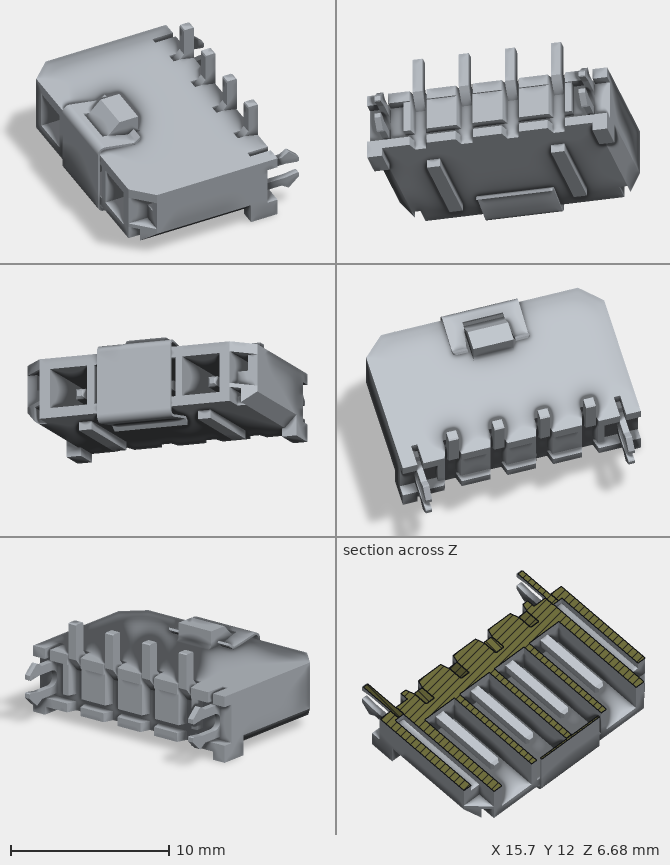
import cadquery as cq
import math


WIDTH = 15.65
DEPTH = 9.89
HEIGHT = 3.88
HALF_WIDTH = WIDTH / 2
CORNER_CHAMFER = 1.35
SIDE_BEVEL = 0.8

CONTACT_COUNT = 4
PITCH = 3.0
CONTACT_Z = 1.91
SOCKET_SIZE = 2.54
SOCKET_DEPTH = 7.2

PIN_SIZE = 0.64
PIN_TIP_Y = 1.88
PIN_TIP_LENGTH = 0.2
PIN_TIP_FLAT = 0.33
TAIL_BACK_Y = 10.03
TAIL_DEPTH = 0.7
TAIL_FRONT_Y = TAIL_BACK_Y - TAIL_DEPTH
TAIL_TOP = 6.09
TAIL_BEVEL_LONG = 0.11
TAIL_BEVEL_SHORT = 0.05
FRONT_KNEE_Z = 4.2
BACK_KNEE_Z = 3.71
SLOPE_RUN = 0.85

TAIL_SLOT_FRONT_Y = 8.59
NOTCH_WIDE = 1.13
NOTCH_NARROW = 0.7
REAR_GROOVE_Y = 9.19
REAR_GROOVE_BOTTOM = 0.6
REAR_GROOVE_TOP = 3.18
REAR_BLOCK_Y = 9.78
REAR_BLOCK_WIDTH = 10.95
REAR_BLOCK_BOTTOM = 1.1

FOOT_HEIGHT = 0.55
CORNER_FOOT_WIDTH = 0.97
CORNER_FOOT_LENGTH = 1.88
CORNER_FOOT_FRONT_Y = DEPTH - CORNER_FOOT_LENGTH
RIB_X = 4.05
RIB_WIDTH = 0.86
RIB_FRONT_Y = 1.72
RIB_REAR_Y = 7.68

LOCK_X = 6.67
LOCK_THICKNESS = 0.4
LOCK_FRONT_Y = 8.44
LOCK_TIP_Y = 11.88
LOCK_BARB_Y = 11.15
LOCK_CREST_LENGTH = 0.1
LOCK_CREST_DROP = 0.05
LOCK_GAP_END_Y = 10.95
LOCK_NECK_Y = 10.67
LOCK_MID_Z = 1.9
LOCK_GAP = 1.1
LOCK_GAP_CENTER_Y = 9.69
LOCK_BARB_HALF = 1.41
LOCK_ARM_TOP = 3.02
LOCK_ARM_BOTTOM = 0.8
LOCK_HEAD_TOP = 3.22
LOCK_HEAD_BOTTOM = REAR_GROOVE_BOTTOM
LOCK_HEAD_REAR_Y = 8.94
LOCK_STEP_REAR_Y = 9.14
LOCK_HEAD_FACE_TOP = 3.07
LOCK_HEAD_FACE_BOTTOM = 0.69
LOCK_HEAD_LEAD = 0.06
LOCK_TIP_OUTER = 0.77
LOCK_TIP_INNER = 0.47
LOCK_TIP_BEVEL = 0.08
LOCK_TIP_BEVEL_END = 0.42

POCKET_BOTTOM = 1.17
POCKET_TOP = 3.22
UPPER_TUNNEL_BOTTOM = 2.2
UPPER_TUNNEL_OUTER_X = 7.18
STEP_TOP = 0.9
CHAMFER_X = HALF_WIDTH - CORNER_CHAMFER
BEVEL_X = HALF_WIDTH - SIDE_BEVEL

RAMP_WIDTH = 2.66
RAMP_HEIGHT = 1.17
RAMP_FRONT_Y = 0.8
RAMP_REAR_Y = 3.29
RAMP_ROOT_RADIUS = 0.25

COVER_WIDTH = 5.01
COVER_APEX_Z = 4.49
COVER_THICKNESS = 0.15
COVER_BEND_RADIUS = 0.45
COVER_KINK_Y = 2.44
COVER_KINK_Z = 4.05
COVER_END_Y = 2.85
COVER_END_Z = 4.37
COVER_KINK_RADIUS = 0.22
COVER_CORNER_RADIUS = 0.2
COVER_NOTCH_FRONT_Y = 0.75
COVER_NOTCH_TAPER_START_Y = 1.11
COVER_NOTCH_TAPER_END_Y = 2.57
COVER_NOTCH_WIDE = 3.13

contact_xs = [(i - (CONTACT_COUNT - 1) / 2) * PITCH for i in range(CONTACT_COUNT)]


def block(x_min, x_max, y_min, y_max, z_min, z_max):
    """Box given by its limits along each axis."""
    return cq.Workplane("XY").box(
        x_max - x_min, y_max - y_min, z_max - z_min, centered=False
    ).translate((x_min, y_min, z_min))


def both_sides(shape):
    """The shape together with its mirror image in the YZ plane."""
    return shape.union(shape.mirror("YZ"))


def side_profile(points, x_center, width):
    """Prism along X with a (Y, Z) outline, centred on x_center."""
    return (
        cq.Workplane("YZ", origin=(x_center, 0, 0))
        .polyline(points).close().extrude(width / 2, both=True)
    )


def make_pin(x):
    leg_top = CONTACT_Z + PIN_SIZE / 2
    leg_bottom = CONTACT_Z - PIN_SIZE / 2
    leg_start_y = PIN_TIP_Y + PIN_TIP_LENGTH
    outline = [
        (leg_start_y, leg_bottom),
        (TAIL_BACK_Y - SLOPE_RUN * (BACK_KNEE_Z - leg_bottom), leg_bottom),
        (TAIL_BACK_Y, BACK_KNEE_Z),
        (TAIL_BACK_Y, TAIL_TOP - TAIL_BEVEL_SHORT),
        (TAIL_BACK_Y - TAIL_BEVEL_LONG, TAIL_TOP),
        (TAIL_FRONT_Y + TAIL_BEVEL_SHORT, TAIL_TOP),
        (TAIL_FRONT_Y, TAIL_TOP - TAIL_BEVEL_LONG),
        (TAIL_FRONT_Y, FRONT_KNEE_Z),
        (TAIL_FRONT_Y - SLOPE_RUN * (FRONT_KNEE_Z - leg_top), leg_top),
        (leg_start_y, leg_top),
    ]
    tip = (
        cq.Workplane("XZ", origin=(x, leg_start_y, CONTACT_Z))
        .rect(PIN_SIZE, PIN_SIZE)
        .workplane(offset=PIN_TIP_LENGTH)
        .rect(PIN_TIP_FLAT, PIN_TIP_FLAT)
        .loft(combine=True)
    )
    return side_profile(outline, x, PIN_SIZE).union(tip)


def lock_barb_points(side, arm_z):
    """Outline of one barb from its neck round the tip to the gap; side is +1 for the upper arm."""
    return [
        (LOCK_NECK_Y, arm_z),
        (LOCK_BARB_Y, LOCK_MID_Z + side * LOCK_BARB_HALF),
        (LOCK_BARB_Y + LOCK_CREST_LENGTH, LOCK_MID_Z + side * (LOCK_BARB_HALF - LOCK_CREST_DROP)),
        (LOCK_TIP_Y, LOCK_MID_Z + side * LOCK_TIP_OUTER),
        (LOCK_TIP_Y, LOCK_MID_Z + side * LOCK_TIP_INNER),
        (LOCK_TIP_Y - LOCK_TIP_BEVEL, LOCK_MID_Z + side * LOCK_TIP_BEVEL_END),
        (LOCK_GAP_END_Y, LOCK_MID_Z + side * LOCK_GAP / 2),
    ]


def make_lock(x):
    upper_barb = lock_barb_points(1, LOCK_ARM_TOP)
    lower_barb = lock_barb_points(-1, LOCK_ARM_BOTTOM)
    head = [
        (REAR_GROOVE_Y, LOCK_ARM_BOTTOM),
        (REAR_GROOVE_Y, LOCK_HEAD_BOTTOM),
        (LOCK_FRONT_Y + LOCK_HEAD_LEAD, LOCK_HEAD_BOTTOM),
        (LOCK_FRONT_Y, LOCK_HEAD_FACE_BOTTOM),
        (LOCK_FRONT_Y, LOCK_HEAD_FACE_TOP),
        (LOCK_FRONT_Y + LOCK_HEAD_LEAD, LOCK_HEAD_TOP),
        (LOCK_HEAD_REAR_Y, LOCK_HEAD_TOP),
        (LOCK_STEP_REAR_Y, LOCK_ARM_TOP),
    ]
    outline = (
        cq.Workplane("YZ", origin=(x, 0, 0))
        .polyline(head + upper_barb)
        .lineTo(LOCK_GAP_CENTER_Y, LOCK_MID_Z + LOCK_GAP / 2)
        .threePointArc(
            (LOCK_GAP_CENTER_Y - LOCK_GAP / 2, LOCK_MID_Z),
            (LOCK_GAP_CENTER_Y, LOCK_MID_Z - LOCK_GAP / 2),
        )
    )
    for y, z in reversed(lower_barb):
        outline = outline.lineTo(y, z)
    return outline.close().extrude(LOCK_THICKNESS / 2, both=True)


def thickened(path, thickness):
    """Closed outline of a strip whose one side is path and whose other side lies to the right of it."""
    headings = [math.atan2(b[1] - a[1], b[0] - a[0]) for a, b in zip(path, path[1:])]
    before = headings[:1] + headings
    after = headings + headings[-1:]
    other_side = []
    for (y, z), heading_in, heading_out in zip(path, before, after):
        normal = (heading_in + heading_out - math.pi) / 2
        reach = thickness / math.cos((heading_out - heading_in) / 2)
        other_side.append((y + reach * math.cos(normal), z + reach * math.sin(normal)))
    return path + other_side[::-1]


def cover_strip():
    """Spring strip bent round the mating face, before its roof arm is cut out for the ramp."""
    arm = [(-COVER_THICKNESS, COVER_APEX_Z), (COVER_KINK_Y, COVER_KINK_Z), (COVER_END_Y, COVER_END_Z)]
    lower_arm = [(y, 2 * CONTACT_Z - z) for y, z in reversed(arm)]
    strip = side_profile(thickened(lower_arm + arm, COVER_THICKNESS), 0, COVER_WIDTH)
    inner_corners = cq.selectors.BoxSelector(
        (-COVER_WIDTH, -COVER_THICKNESS / 2, -HEIGHT),
        (COVER_WIDTH, COVER_THICKNESS / 2, 2 * HEIGHT),
    )
    strip = strip.edges("|X").edges(inner_corners).fillet(COVER_BEND_RADIUS - COVER_THICKNESS)
    strip = strip.edges("|X and <Y").fillet(COVER_BEND_RADIUS)
    for z in (COVER_KINK_Z, 2 * CONTACT_Z - COVER_KINK_Z):
        kink = cq.selectors.NearestToPointSelector((0, COVER_KINK_Y, z))
        strip = strip.edges(kink).fillet(COVER_KINK_RADIUS)
    return strip


def make_cover():
    strip = cover_strip()
    strip_rear_y = strip.val().BoundingBox().ymax
    plan = block(-COVER_WIDTH / 2, COVER_WIDTH / 2, -COVER_THICKNESS, strip_rear_y, -HEIGHT, 2 * HEIGHT)
    plan = plan.edges("|Z and >Y").fillet(COVER_CORNER_RADIUS)
    notch = (
        cq.Workplane("XY", origin=(0, 0, CONTACT_Z))
        .moveTo(RAMP_WIDTH / 2, COVER_NOTCH_FRONT_Y)
        .lineTo(RAMP_WIDTH / 2, COVER_NOTCH_TAPER_START_Y)
        .lineTo(COVER_NOTCH_WIDE / 2, COVER_NOTCH_TAPER_END_Y)
        .lineTo(COVER_NOTCH_WIDE / 2, DEPTH)
        .lineTo(-COVER_NOTCH_WIDE / 2, DEPTH)
        .lineTo(-COVER_NOTCH_WIDE / 2, COVER_NOTCH_TAPER_END_Y)
        .lineTo(-RAMP_WIDTH / 2, COVER_NOTCH_TAPER_START_Y)
        .lineTo(-RAMP_WIDTH / 2, COVER_NOTCH_FRONT_Y)
        .close().extrude(HEIGHT)
    )
    return strip.intersect(plan).cut(notch)


def housing_shell():
    """Block with cut front corners, bevelled lower sides and the groove across the rear."""
    shell = block(-HALF_WIDTH, HALF_WIDTH, 0, DEPTH, 0, HEIGHT).edges("|Z and <Y").chamfer(CORNER_CHAMFER)
    bevel = (
        cq.Workplane("XZ")
        .polyline([(HALF_WIDTH, 0), (HALF_WIDTH, SIDE_BEVEL), (BEVEL_X, 0)]).close()
        .extrude(-CORNER_FOOT_FRONT_Y)
    )
    groove = block(-HALF_WIDTH, HALF_WIDTH, REAR_GROOVE_Y, DEPTH, REAR_GROOVE_BOTTOM, REAR_GROOVE_TOP)
    contact_block = block(
        -REAR_BLOCK_WIDTH / 2, REAR_BLOCK_WIDTH / 2,
        REAR_GROOVE_Y, REAR_BLOCK_Y, REAR_BLOCK_BOTTOM, REAR_GROOVE_TOP,
    )
    return shell.cut(both_sides(bevel)).cut(groove.cut(contact_block))


def feet():
    corner_foot = block(
        HALF_WIDTH - CORNER_FOOT_WIDTH, HALF_WIDTH, CORNER_FOOT_FRONT_Y, DEPTH, -FOOT_HEIGHT, 0
    )
    rib = block(
        RIB_X - RIB_WIDTH / 2, RIB_X + RIB_WIDTH / 2, RIB_FRONT_Y, RIB_REAR_Y, -FOOT_HEIGHT, 0
    )
    return both_sides(corner_foot.union(rib))


def latch_ramp():
    top = HEIGHT + RAMP_HEIGHT
    return (
        cq.Workplane("YZ")
        .moveTo(RAMP_FRONT_Y, HEIGHT)
        .lineTo(RAMP_FRONT_Y + RAMP_HEIGHT, top)
        .lineTo(RAMP_REAR_Y, top)
        .lineTo(RAMP_REAR_Y, HEIGHT + RAMP_ROOT_RADIUS)
        .radiusArc((RAMP_REAR_Y + RAMP_ROOT_RADIUS, HEIGHT), -RAMP_ROOT_RADIUS)
        .close().extrude(RAMP_WIDTH / 2, both=True)
    )


def contact_cavity(x):
    """Socket in the mating face, with the notch and slot at the rear for the tail of its pin."""
    socket = block(
        x - SOCKET_SIZE / 2, x + SOCKET_SIZE / 2, 0, SOCKET_DEPTH,
        CONTACT_Z - SOCKET_SIZE / 2, CONTACT_Z + SOCKET_SIZE / 2,
    )
    slot_floor_z = FRONT_KNEE_Z - (TAIL_FRONT_Y - TAIL_SLOT_FRONT_Y) / SLOPE_RUN
    slot = block(
        x - PIN_SIZE / 2, x + PIN_SIZE / 2, TAIL_SLOT_FRONT_Y, TAIL_FRONT_Y, slot_floor_z, HEIGHT
    )
    notch = (
        cq.Workplane("XY", origin=(x, 0, 0))
        .polyline([
            (-NOTCH_NARROW / 2, REAR_GROOVE_Y),
            (NOTCH_NARROW / 2, REAR_GROOVE_Y),
            (NOTCH_WIDE / 2, DEPTH),
            (-NOTCH_WIDE / 2, DEPTH),
        ])
        .close().extrude(HEIGHT)
    )
    return socket.union(slot).union(notch)


def corner_openings():
    """Pocket and lower step in each front corner, the tunnels behind them and the board lock slot."""
    pocket = block(CHAMFER_X, HALF_WIDTH, 0, CORNER_CHAMFER, POCKET_BOTTOM, POCKET_TOP)
    step = block(CHAMFER_X, BEVEL_X, 0, CORNER_CHAMFER, 0, STEP_TOP)
    upper_tunnel = block(
        CHAMFER_X, UPPER_TUNNEL_OUTER_X, CORNER_CHAMFER, LOCK_FRONT_Y, UPPER_TUNNEL_BOTTOM, POCKET_TOP
    )
    lower_tunnel = block(
        CHAMFER_X, BEVEL_X, CORNER_CHAMFER, LOCK_FRONT_Y, LOCK_HEAD_BOTTOM, STEP_TOP
    )
    lock_slot = block(
        LOCK_X - LOCK_THICKNESS / 2, LOCK_X + LOCK_THICKNESS / 2,
        LOCK_FRONT_Y, DEPTH, LOCK_HEAD_BOTTOM, HEIGHT,
    )
    openings = pocket.union(step).union(upper_tunnel).union(lower_tunnel).union(lock_slot)
    return both_sides(openings)


def make_housing(pins):
    housing = housing_shell().union(feet()).union(latch_ramp()).cut(corner_openings())
    for x in contact_xs:
        housing = housing.cut(contact_cavity(x))
    for pin in pins:
        housing = housing.cut(pin)
    return housing


pins = [make_pin(x) for x in contact_xs]
locks = [make_lock(x) for x in (-LOCK_X, LOCK_X)]
cover = make_cover()
housing = make_housing(pins)
bodies = [housing, *pins, *locks, cover]
result = cq.Compound.makeCompound([body.val() for body in bodies])